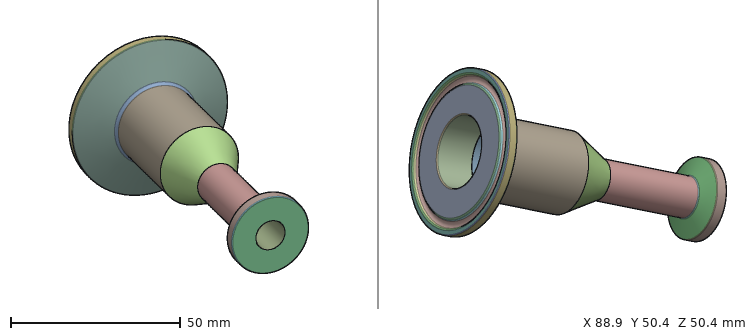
import cadquery as cq
import math

length = 88.9
large_rim_width = 2.85
large_flange_end = 12.7
taper_start = 38.1
taper_end = 50.85
small_rim_width = 3.6

large_flange_diameter = 50.4
large_tube_diameter = 25.4
large_flange_bore_diameter = 22.1
large_tube_bore_diameter = 21.9
small_flange_diameter = 25.0
small_tube_diameter = 12.7
small_bore_diameter = 9.4

flange_back_slope = math.radians(20)
rim_fillet = 0.3
large_neck_fillet = 1.2
small_neck_fillet = 0.4
bore_edge_fillet = 0.4

groove_center_diameter = 43.65
groove_depth = 1.6
groove_bottom_radius = 1.2
groove_wall_slope = math.radians(25)
groove_edge_fillet = 0.6

tolerance = 0.01


def back_cone_length(flange_diameter, tube_diameter):
    """Axial length of the sloped flange back, from rim to tube."""
    rise = (flange_diameter - tube_diameter) / 2
    return rise * math.tan(flange_back_slope)


def revolve_about_x(profile):
    return profile.close().revolve(360, (0, 0, 0), (1, 0, 0))


def circles_at(body, x, *diameters):
    """Circular edges of the given diameters in the plane at x."""
    edges = [
        edge
        for edge in body.edges().vals()
        if abs(edge.Center().x - x) < tolerance
        and any(abs(edge.Length() - math.pi * diameter) < tolerance for diameter in diameters)
    ]
    return body.newObject(edges)


large_neck_x = large_rim_width + back_cone_length(large_flange_diameter, large_tube_diameter)
small_rim_x = length - small_rim_width
small_neck_x = small_rim_x - back_cone_length(small_flange_diameter, small_tube_diameter)

groove_center_radius = groove_center_diameter / 2
groove_bottom_half_width = groove_bottom_radius * math.cos(groove_wall_slope)
groove_wall_end_x = groove_depth - groove_bottom_radius * (1 - math.sin(groove_wall_slope))
groove_half_width = groove_bottom_half_width + groove_wall_end_x * math.tan(groove_wall_slope)
groove_inner_diameter = groove_center_diameter - 2 * groove_half_width
groove_outer_diameter = groove_center_diameter + 2 * groove_half_width


def outer_body():
    body = revolve_about_x(
        cq.Workplane("XY")
        .lineTo(0, large_flange_diameter / 2)
        .lineTo(large_rim_width, large_flange_diameter / 2)
        .lineTo(large_neck_x, large_tube_diameter / 2)
        .lineTo(taper_start, large_tube_diameter / 2)
        .lineTo(taper_end, small_tube_diameter / 2)
        .lineTo(small_neck_x, small_tube_diameter / 2)
        .lineTo(small_rim_x, small_flange_diameter / 2)
        .lineTo(length, small_flange_diameter / 2)
        .lineTo(length, 0)
    )
    body = circles_at(body, large_neck_x, large_tube_diameter).fillet(large_neck_fillet)
    body = circles_at(body, small_neck_x, small_tube_diameter).fillet(small_neck_fillet)
    for rim_edge_x in (0, large_rim_width):
        body = circles_at(body, rim_edge_x, large_flange_diameter).fillet(rim_fillet)
    for rim_edge_x in (small_rim_x, length):
        body = circles_at(body, rim_edge_x, small_flange_diameter).fillet(rim_fillet)
    return body


def bore():
    return revolve_about_x(
        cq.Workplane("XY")
        .lineTo(0, large_flange_bore_diameter / 2)
        .lineTo(large_flange_end, large_flange_bore_diameter / 2)
        .lineTo(large_flange_end, large_tube_bore_diameter / 2)
        .lineTo(taper_start, large_tube_bore_diameter / 2)
        .lineTo(taper_end, small_bore_diameter / 2)
        .lineTo(length, small_bore_diameter / 2)
        .lineTo(length, 0)
    )


def gasket_groove():
    return revolve_about_x(
        cq.Workplane("XY")
        .moveTo(0, groove_inner_diameter / 2)
        .lineTo(groove_wall_end_x, groove_center_radius - groove_bottom_half_width)
        .threePointArc(
            (groove_depth, groove_center_radius),
            (groove_wall_end_x, groove_center_radius + groove_bottom_half_width),
        )
        .lineTo(0, groove_outer_diameter / 2)
    )


result = outer_body().cut(bore()).cut(gasket_groove())
result = circles_at(result, 0, large_flange_bore_diameter).fillet(bore_edge_fillet)
result = circles_at(result, 0, groove_inner_diameter, groove_outer_diameter).fillet(groove_edge_fillet)